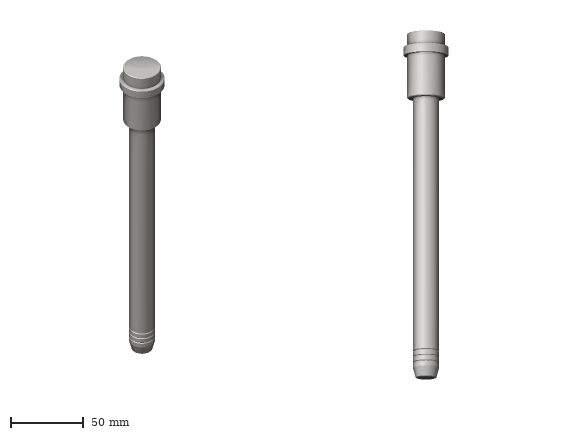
import cadquery as cq
import math

edge_chamfer = 0.5

length = 240.0
head_diameter = 26.0
head_length = 45.0
head_bottom = length - head_length
collar_diameter = 31.0
collar_top = length - 9.0
collar_thickness = 6.0
collar_bottom = collar_top - collar_thickness

relief_width = 1.0
relief_depth = 0.12

shank_diameter = 18.0
tip_length = 7.0
tip_angle = 15.0
tip_chamfer = 0.2

groove_count = 3
groove_span = 8.0
groove_pitch = groove_span / (groove_count - 1)
groove_width = 1.0
groove_depth = groove_width / 2
lowest_groove_height = 10.5


def cylinder(diameter, bottom, height):
    return cq.Workplane("XY").workplane(offset=bottom).circle(diameter / 2).extrude(height)


def make_head():
    head = cylinder(head_diameter, head_bottom, head_length)
    return head.faces("<Z or >Z").chamfer(edge_chamfer)


def make_collar():
    collar = cylinder(collar_diameter, collar_bottom, collar_thickness)
    return collar.faces(">Z").chamfer(edge_chamfer)


def make_shank():
    """Shank cylinder with its lower end coned and the tip edge broken."""
    taper_inset = tip_length * math.tan(math.radians(tip_angle))
    shank = cylinder(shank_diameter, 0, head_bottom)
    shank = shank.faces("<Z").chamfer(tip_length, taper_inset)
    return shank.faces("<Z").chamfer(tip_chamfer)


def relief_ring(diameter, bottom):
    """Square-sided ring that cuts a relief groove into a cylinder of the given diameter."""
    core = cylinder(diameter - 2 * relief_depth, bottom, relief_width)
    return cylinder(diameter, bottom, relief_width).cut(core)


def vee_ring(center_height):
    """Triangular-section ring that cuts one V groove into the shank."""
    radius = shank_diameter / 2
    section = (
        cq.Workplane("XZ")
        .moveTo(radius, center_height - groove_width / 2)
        .lineTo(radius - groove_depth, center_height)
        .lineTo(radius, center_height + groove_width / 2)
        .close()
    )
    return section.revolve(360, (0, 0, 0), (0, 1, 0))


result = make_shank().union(make_head()).union(make_collar())

result = result.cut(relief_ring(head_diameter, collar_top))
result = result.cut(relief_ring(head_diameter, collar_bottom - relief_width))
result = result.cut(relief_ring(shank_diameter, head_bottom - relief_width))

for index in range(groove_count):
    result = result.cut(vee_ring(lowest_groove_height + index * groove_pitch))